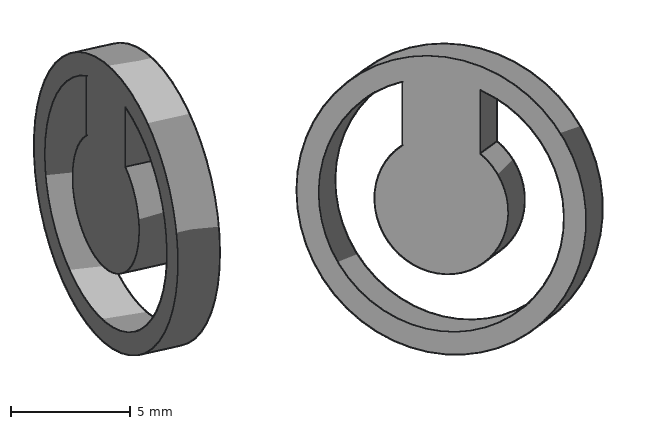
import cadquery as cq

outer_diameter = 13.0
inner_diameter = 11.0
disc_diameter = 6.0
stem_width = 3.5
thickness = 2.0

stem_length = (outer_diameter + inner_diameter) / 4


def front_plane():
    """XZ workplane placed so that the part is centred on Y = 0."""
    return cq.Workplane("XZ", origin=(0, thickness / 2, 0))


ring = front_plane().circle(outer_diameter / 2).circle(inner_diameter / 2).extrude(thickness)

disc = front_plane().circle(disc_diameter / 2).extrude(thickness)

stem = front_plane().center(0, stem_length / 2).rect(stem_width, stem_length).extrude(thickness)

result = ring.union(disc).union(stem)